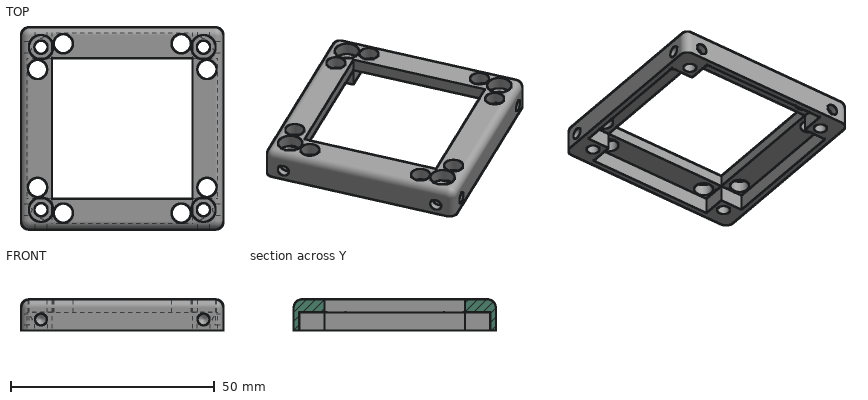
import cadquery as cq
import math

side = 49.8
height = 7.7
edge_radius = 2.1

rim_width = 7.65
plate_thickness = 3.25
wall_thickness = 1.5

screw_inset = 4.95
screw_diameter = 3.2
counterbore_diameter = 6.0
counterbore_depth = 3.2

side_hole_diameter = 4.7
side_hole_edge_inset = 4.1
side_hole_corner_inset = 10.4

drill_front_diameter = 2.9
drill_side_diameter = 2.8
drill_height = 2.75
drill_depth = 2.0
drill_tip_angle = 118.0

half_side = side / 2
window = side - 2 * rim_width
recess_depth = height - plate_thickness


def make_shell():
    """Rounded square frame, hollow below the plate except for corner posts."""
    body = (
        cq.Workplane("XY")
        .rect(side, side)
        .extrude(height)
        .edges("|Z or >Z")
        .fillet(edge_radius)
    )
    body = body.cut(cq.Workplane("XY").rect(window, window).extrude(height))
    recess_span = side - 2 * wall_thickness
    recess_x = cq.Workplane("XY").rect(recess_span, window).extrude(recess_depth)
    recess_y = cq.Workplane("XY").rect(window, recess_span).extrude(recess_depth)
    return body.cut(recess_x).cut(recess_y)


def mirrored_points(x, y):
    """The point (x, y) repeated in all four quadrants."""
    return [(sx * x, sy * y) for sx in (-1, 1) for sy in (-1, 1)]


def cut_vertical_holes(body):
    """Counterbored corner screws and the plain holes on both sides of each."""
    screw_offset = half_side - screw_inset
    body = (
        body.faces(">Z")
        .workplane(origin=(0, 0, height))
        .pushPoints(mirrored_points(screw_offset, screw_offset))
        .cboreHole(screw_diameter, counterbore_diameter, counterbore_depth)
    )
    near_edge = half_side - side_hole_edge_inset
    near_corner = half_side - side_hole_corner_inset
    points = mirrored_points(near_corner, near_edge) + mirrored_points(near_edge, near_corner)
    holes = cq.Workplane("XY").pushPoints(points).circle(side_hole_diameter / 2).extrude(height)
    return body.cut(holes)


def wall_drill(offset, diameter):
    """Blind hole with a conical tip, drilled into the -Y wall at X = offset."""
    radius = diameter / 2
    tip_length = radius / math.tan(math.radians(drill_tip_angle / 2))
    return (
        cq.Workplane("XY")
        .polyline([(0, 0), (radius, 0), (radius, drill_depth), (0, drill_depth + tip_length)])
        .close()
        .revolve(360, (0, 0, 0), (0, 1, 0))
        .translate((offset, -half_side, drill_height))
    )


def cut_wall_holes(body):
    """Two drilled holes in each outer wall, in line with the corner screws."""
    for angle in (0, 90, 180, 270):
        diameter = drill_front_diameter if angle in (0, 180) else drill_side_diameter
        for offset in (screw_inset - half_side, half_side - screw_inset):
            drill = wall_drill(offset, diameter).rotate((0, 0, 0), (0, 0, 1), angle)
            body = body.cut(drill)
    return body


result = cut_wall_holes(cut_vertical_holes(make_shell()))